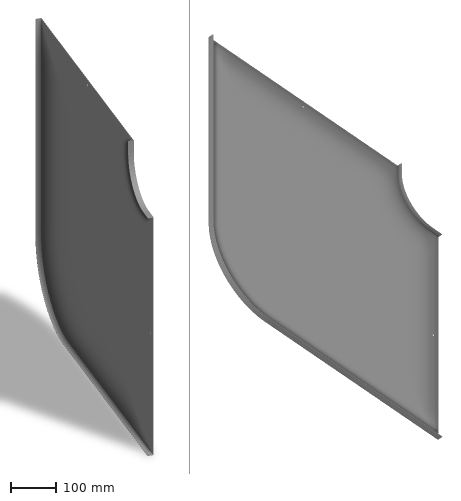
import cadquery as cq
import math

side = 731.0
depth = 14.0
sheet = 1.0

corner_radius = 180.0
notch_size = 129.0
notch_radius = 99.0
notch_flange_depth = 13.0

hole_diameter = 5.0
hole_edge_distance = 15.0
open_edge_length = side - notch_size
hole_along_edge = open_edge_length / 2

back = depth / 2


def arc_middle(center_x, center_z, radius):
    """Middle of an arc spanning the lower left quarter of a circle."""
    reach = radius * math.sqrt(0.5)
    return (center_x - reach, center_z - reach)


def extrude_forward(outline, length):
    """Extrude an XZ outline from the back face towards the front."""
    return outline.close().extrude(length)


def back_sketch():
    return cq.Workplane("XZ", origin=(0, back, 0))


def rounded_plate(inset, length):
    """Square with its lower left corner rounded, inset on the left and bottom."""
    outline = (
        back_sketch()
        .moveTo(side, side)
        .lineTo(inset, side)
        .lineTo(inset, corner_radius)
        .threePointArc(
            arc_middle(corner_radius, corner_radius, corner_radius - inset),
            (corner_radius, inset),
        )
        .lineTo(side, inset)
    )
    return extrude_forward(outline, length)


def notch_block(offset, length):
    """Upper right corner block with a rounded inner corner, grown by an offset."""
    edge = open_edge_length - offset
    center = open_edge_length + notch_radius
    outline = (
        back_sketch()
        .moveTo(side, side)
        .lineTo(edge, side)
        .lineTo(edge, center)
        .threePointArc(
            arc_middle(center, center, notch_radius + offset),
            (center, edge),
        )
        .lineTo(side, edge)
    )
    return extrude_forward(outline, length)


def screw_holes():
    far_line = side - hole_edge_distance
    centers = [(hole_along_edge, far_line), (far_line, hole_along_edge)]
    return back_sketch().pushPoints(centers).circle(hole_diameter / 2).extrude(sheet)


web = rounded_plate(0, sheet)
outer_flange = rounded_plate(0, depth).cut(rounded_plate(sheet, depth))
notch_flange = notch_block(sheet, notch_flange_depth)

result = (
    web.union(outer_flange)
    .union(notch_flange)
    .cut(notch_block(0, depth))
    .cut(screw_holes())
)